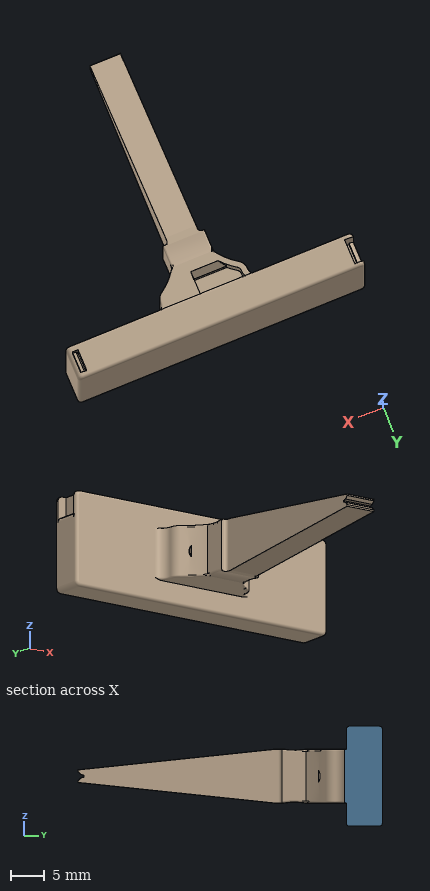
import cadquery as cq
import math


plate_length = 45.8
plate_thickness = 5.38
plate_height = 14.8
plate_corner_radius = 0.8
plate_edge_radius = 0.5

recess_depth = 1.45
recess_width = 3.9
recess_height = 3.3
recess_sill_radius = 0.75
recess_groove_depth = 0.8

slot_length = 3.35
slot_end_gap = 0.8
slot_width = 0.9
slot_depth = 2.0
slot_ledge_depth = 1.0
slot_ramp_width = 0.3

stem_height = 8.0
stem_edge_radius = 0.3
root_radius = 1.6
root_half_width = 6.95
shoulder_radius = 1.8
shoulder_turn = math.radians(56)
neck_half_width = 3.35
neck_start = 5.92
neck_end = 9.45
stem_embed = 2.0

hollow_end = 9.27
hollow_depth = 0.15

pocket_wall = 1.0
pocket_depth = 1.95
pocket_side_x = 1.0
pocket_floor_end = 3.28
pocket_chamfer = 1.0

boss_radius = 1.5
boss_reach = 5.2
boss_end = 4.07

blade_half_width = 2.45
blade_root_radius = 0.5
taper_start = 10.4
tip_distance = 39.51
tip_half_height = 0.95
fork_mouth_half_height = 0.7
fork_throat_half_height = 0.25
fork_throat_depth = 0.42
fork_bottom_half_height = 0.1
fork_depth = 0.9


def make_plate():
    plate = cq.Workplane("XY").box(plate_length, plate_thickness, plate_height)
    plate = plate.edges("|Y").fillet(plate_corner_radius)
    plate = plate.faces("<Y or >Y").edges().fillet(plate_edge_radius)
    return plate.translate((0, plate_thickness / 2, 0))


def make_recess():
    """Recess with a rounded sill at the outside and a groove behind the sill."""
    outer_x = -plate_length / 2
    inner_x = outer_x + recess_depth
    top_z = plate_height / 2
    sill_x = outer_x + recess_sill_radius
    sill_z = top_z - recess_height
    groove_z = sill_z - recess_groove_depth
    return (
        cq.Workplane("XZ", origin=(0, plate_thickness / 2, 0))
        .moveTo(inner_x, top_z)
        .lineTo(inner_x, groove_z)
        .lineTo(sill_x, groove_z)
        .lineTo(sill_x, sill_z)
        .radiusArc((outer_x, sill_z - recess_sill_radius), -recess_sill_radius)
        .lineTo(outer_x, top_z)
        .close()
        .extrude(recess_width / 2, both=True)
    )


def make_slot():
    right_x = plate_length / 2 - slot_end_gap
    left_x = right_x - slot_width
    top_z = plate_height / 2
    return (
        cq.Workplane("XZ", origin=(0, plate_thickness / 2, 0))
        .polyline([
            (left_x, top_z),
            (left_x, top_z - slot_depth),
            (left_x + slot_ramp_width, top_z - slot_ledge_depth),
            (right_x, top_z - slot_ledge_depth),
            (right_x, top_z),
        ])
        .close()
        .extrude(slot_length / 2, both=True)
    )


def stem_half_outline():
    """Closed outline of the +X half of the stem, reaching into the plate."""
    root_x = root_half_width + root_radius
    shoulder_x = root_half_width - shoulder_radius * (1 - math.cos(shoulder_turn))
    shoulder_y = -root_radius - shoulder_radius * math.sin(shoulder_turn)
    return (
        cq.Workplane("XY")
        .moveTo(0, stem_embed)
        .lineTo(root_x, stem_embed)
        .lineTo(root_x, 0)
        .radiusArc((root_half_width, -root_radius), -root_radius)
        .tangentArcPoint((shoulder_x, shoulder_y), relative=False)
        .tangentArcPoint((neck_half_width, -neck_start), relative=False)
        .lineTo(neck_half_width, -neck_end)
        .lineTo(0, -neck_end)
        .close()
    )


def mirrored(half):
    return half.union(half.mirror("YZ"), clean=True)


def make_stem():
    half = stem_half_outline().extrude(stem_height / 2, both=True)
    stem = mirrored(half)
    hollow_middle = (neck_start + hollow_end) / 2
    for side in (1, -1):
        face_z = side * stem_height / 2
        hollow = (
            cq.Workplane("YZ")
            .moveTo(-neck_start, face_z)
            .threePointArc((-hollow_middle, face_z - side * hollow_depth), (-hollow_end, face_z))
            .close()
            .extrude(plate_length / 2, both=True)
        )
        stem = stem.cut(hollow)
    return stem


def round_stem(stem):
    """Round the long rims in front of the plate."""
    rims = stem.edges("not (|X or |Z)").filter(lambda edge: edge.Center().y < 0)
    return stem.newObject(rims.vals()).fillet(stem_edge_radius)


def make_pocket():
    top_z = stem_height / 2
    floor_z = top_z - pocket_depth
    swept = (
        cq.Workplane("YZ")
        .polyline([
            (0, top_z),
            (0, floor_z),
            (-pocket_floor_end, floor_z),
            (-pocket_floor_end, top_z - pocket_chamfer),
            (-pocket_floor_end - pocket_chamfer, top_z),
        ])
        .close()
        .extrude(plate_length / 2, both=True)
        .intersect(
            cq.Workplane("XY")
            .box(plate_length, plate_length, plate_height)
            .translate((pocket_side_x - plate_length / 2, 0, 0))
        )
    )
    half = stem_half_outline().extrude(stem_height / 2, both=True)
    outline = mirrored(half).faces(">Z").wires().val().offset2D(-pocket_wall)[0]
    inside = cq.Workplane("XY").add(outline).toPending().extrude(-stem_height)
    return swept.intersect(inside)


def make_bosses():
    x = boss_reach - boss_radius
    return (
        cq.Workplane("XZ")
        .pushPoints([(-x, 0), (x, 0)])
        .circle(boss_radius)
        .extrude(boss_end)
    )


def make_blade():
    half_height = stem_height / 2
    upper_edge = [
        (-neck_end, half_height),
        (-taper_start, half_height),
        (-tip_distance, tip_half_height),
        (-tip_distance, fork_mouth_half_height),
        (-tip_distance + fork_throat_depth, fork_throat_half_height),
        (-tip_distance + fork_depth, fork_bottom_half_height),
    ]
    lower_edge = [(y, -z) for y, z in reversed(upper_edge)]
    profile = cq.Workplane("YZ").polyline(upper_edge + lower_edge).close()
    return profile.extrude(blade_half_width, both=True)


def make_blade_root():
    """Concave rounds between the end of the neck and the blade flanks."""
    outer_x = blade_half_width + blade_root_radius
    half = (
        cq.Workplane("XY")
        .moveTo(0, -neck_end)
        .lineTo(outer_x, -neck_end)
        .radiusArc((blade_half_width, -neck_end - blade_root_radius), -blade_root_radius)
        .lineTo(0, -neck_end - blade_root_radius)
        .close()
        .extrude(stem_height / 2, both=True)
    )
    return mirrored(half)


plate = make_plate().cut(make_recess()).cut(make_slot())
stem = round_stem(make_stem()).cut(make_pocket()).union(make_bosses())
result = plate.union(stem).union(make_blade_root()).union(make_blade())